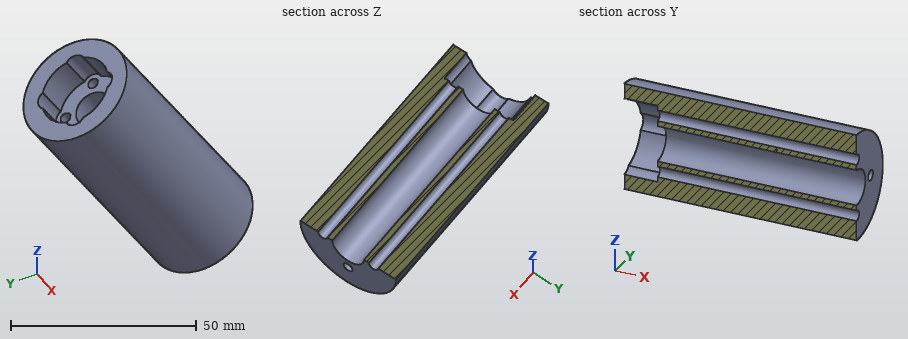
import cadquery as cq

length = 70.0
outer_diameter = 32.0

pocket_depth = 10.0
pocket_diameter = 20.6
lobe_diameter = 5.95

bore_diameter = 10.5
screw_hole_diameter = 3.0
screw_circle_radius = 8.5
screw_count = 4


def cylinder(diameter, depth):
    """Cylinder on the X axis, starting at the -X end face."""
    return cq.Workplane("YZ").circle(diameter / 2).extrude(depth)


def screw_pattern(diameter, depth):
    """Cylinders along X at every screw position."""
    return (
        cq.Workplane("YZ")
        .polarArray(screw_circle_radius, 0, 360, screw_count)
        .circle(diameter / 2)
        .extrude(depth)
    )


body = cylinder(outer_diameter, length)

pocket = cylinder(pocket_diameter, pocket_depth).union(screw_pattern(lobe_diameter, pocket_depth))

bore = cylinder(bore_diameter, length)
screw_holes = screw_pattern(screw_hole_diameter, length)

result = body.cut(pocket).cut(bore).cut(screw_holes).translate((-length / 2, 0, 0))